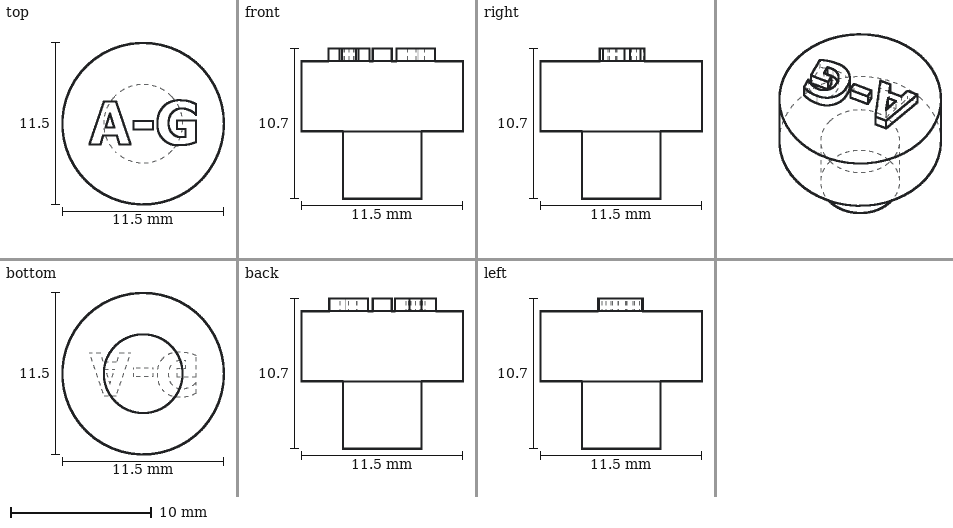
import cadquery as cq

head_diameter = 11.5
head_height = 5.0
stem_diameter = 5.6
stem_height = 4.8
mark_height = 0.9

head_top = stem_height + head_height

letter_base = -1.46
letter_top = 1.59
a_center = -2.36
a_half_foot = 1.46
a_half_top = 0.43
a_half_gap_foot = 0.67
a_half_gap_top = 0.48
a_gap_top = -0.83
a_hole_half_base = 0.31
a_hole_base = -0.29
a_hole_tip = 0.72

dash_length = 1.37
dash_width = 0.59
dash_center_y = -0.1

g_right = 3.77
g_left = 1.02
g_inner_left = 1.82
g_middle = 0.07
g_bar_left = 2.42
g_bar_top = 0.22
g_bar_bottom = -0.37
g_stem_left = 3.01
g_inner_bottom = -0.95


def make_body():
    stem = cq.Workplane("XY").circle(stem_diameter / 2).extrude(stem_height)
    head = cq.Workplane("XY", origin=(0, 0, stem_height)).circle(head_diameter / 2).extrude(head_height)
    return stem.union(head)


def mark_plane(overlap=0.12):
    """Start slightly inside the head so that each mark fuses with it."""
    return cq.Workplane("XY", origin=(0, 0, head_top - overlap)), mark_height + overlap


def make_letter_a():
    plane, height = mark_plane()
    right_side = [
        (a_half_top, letter_top),
        (a_half_foot, letter_base),
        (a_half_gap_foot, letter_base),
        (a_half_gap_top, a_gap_top),
    ]
    left_side = [(-x, y) for x, y in reversed(right_side)]
    outline = plane.polyline(right_side + left_side).close().extrude(height)

    counter = (
        cq.Workplane("XY", origin=(0, 0, head_top))
        .polyline([(-a_hole_half_base, a_hole_base), (a_hole_half_base, a_hole_base), (0, a_hole_tip)])
        .close()
        .extrude(mark_height)
    )
    return outline.translate((a_center, 0, 0)), counter.translate((a_center, 0, 0))


def make_dash():
    plane, height = mark_plane()
    return plane.center(0, dash_center_y).rect(dash_length, dash_width).extrude(height)


def make_letter_g():
    plane, height = mark_plane()
    return (
        plane.moveTo(g_right, 1.38)
        .threePointArc((3.23, 1.6), (2.62, 1.67))
        .threePointArc((1.41, 1.18), (g_left, g_middle))
        .threePointArc((1.41, -1.1), (2.54, -1.53))
        .threePointArc((3.23, -1.47), (g_right, -1.3))
        .lineTo(g_right, g_bar_top)
        .lineTo(g_bar_left, g_bar_top)
        .lineTo(g_bar_left, g_bar_bottom)
        .lineTo(g_stem_left, g_bar_bottom)
        .lineTo(g_stem_left, g_inner_bottom)
        .lineTo(2.56, g_inner_bottom)
        .threePointArc((2.06, -0.68), (g_inner_left, g_middle))
        .threePointArc((2.06, 0.78), (2.7, 1.09))
        .threePointArc((3.29, 0.97), (g_right, 0.63))
        .close()
        .extrude(height)
    )


letter_a, a_counter = make_letter_a()
result = make_body().union(letter_a).cut(a_counter).union(make_dash()).union(make_letter_g())